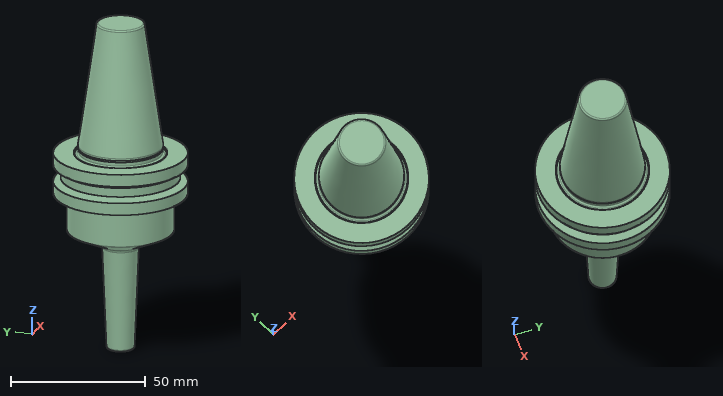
import cadquery as cq

total_height = 127.8
gauge_z = 80.0
flange_top_z = 76.8
flange_bottom_z = 61.0
body_bottom_z = 46.6
cone_bottom_z = 40.6

taper_ratio = 7 / 24
gauge_radius = 15.8
top_radius = gauge_radius - (total_height - gauge_z) * taper_ratio / 2
top_fillet = 0.6

collar_height = 0.9
neck_radius = 15.6
neck_shoulder_height = 0.8
neck_root_fillet = 0.6

relief_radius = 17.4
relief_depth = 0.4

flange_diameter = 50.0
flange_radius = flange_diameter / 2
groove_radius = 22.2
groove_mid_z = 68.9
groove_mouth = 6.5
groove_floor = 3.5

body_diameter = 40.0
body_radius = body_diameter / 2
body_root_fillet = 0.4
body_rim_fillet = 0.4
nose_top_radius = 6.9
nose_tip_radius = 5.2
cone_blend_radius = 1.3
tip_fillet = 1.0

collar_bottom_z = gauge_z - collar_height
neck_top_z = collar_bottom_z - neck_shoulder_height
relief_floor_z = flange_top_z - relief_depth

selection_margin = 0.1


def revolve_profile(points):
    """Turn (radius, z) points into a solid of revolution about Z."""
    return cq.Workplane("XZ").polyline(points).close().revolve(360, (0, 0, 0), (0, 1, 0))


def circle_at(radius, z):
    """Select the circular edge of the given radius at height z, centred on the Z axis."""
    reach = radius + selection_margin
    return cq.selectors.BoxSelector(
        (-reach, -reach, z - selection_margin),
        (reach, reach, z + selection_margin),
        boundingbox=True,
    )


def make_shank_and_flange():
    solid = revolve_profile([
        (0, flange_bottom_z),
        (flange_radius, flange_bottom_z),
        (flange_radius, groove_mid_z - groove_mouth / 2),
        (groove_radius, groove_mid_z - groove_floor / 2),
        (groove_radius, groove_mid_z + groove_floor / 2),
        (flange_radius, groove_mid_z + groove_mouth / 2),
        (flange_radius, flange_top_z),
        (relief_radius, flange_top_z),
        (relief_radius - relief_depth, relief_floor_z),
        (neck_radius, relief_floor_z),
        (neck_radius, neck_top_z),
        (gauge_radius, collar_bottom_z),
        (gauge_radius, gauge_z),
        (top_radius, total_height),
        (0, total_height),
    ])
    solid = solid.faces(">Z").edges().fillet(top_fillet)
    return solid.edges(circle_at(neck_radius, relief_floor_z)).fillet(neck_root_fillet)


def make_body_and_nose():
    solid = revolve_profile([
        (0, 0),
        (nose_tip_radius, 0),
        (nose_top_radius, cone_bottom_z),
        (body_radius, body_bottom_z),
        (body_radius, flange_bottom_z),
        (0, flange_bottom_z),
    ])
    solid = solid.edges(circle_at(body_radius, body_bottom_z)).fillet(body_rim_fillet)
    solid = solid.edges(circle_at(nose_top_radius, cone_bottom_z)).fillet(cone_blend_radius)
    return solid.faces("<Z").edges().fillet(tip_fillet)


part = make_shank_and_flange().union(make_body_and_nose())
result = part.edges(circle_at(body_radius, flange_bottom_z)).fillet(body_root_fillet)